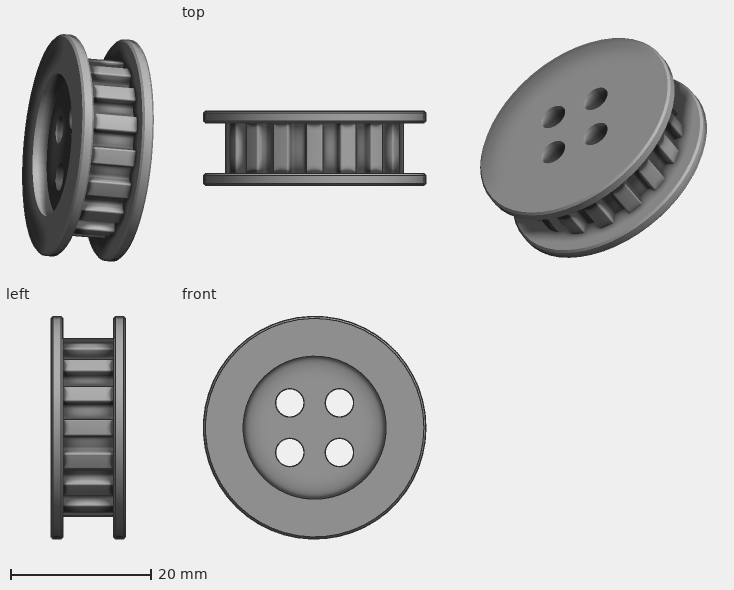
import cadquery as cq
import math

FLANGE_DIAMETER = 31.75
WIDTH = 10.6
FLANGE_THICKNESS = 1.7
FLANGE_CHAMFER = 0.3

TOOTH_COUNT = 16
TIP_DIAMETER = 25.4
ROOT_DIAMETER = 22.15
TOOTH_BASE_WIDTH = 2.2
TOOTH_TIP_WIDTH = 2.44
ROOT_FILLET = 0.55
TIP_FILLET = 0.25

RECESS_DIAMETER = 20.4
RECESS_DEPTH = 2.1
HOLE_DIAMETER = 4.0
HOLE_COUNT = 4
HOLE_CIRCLE_DIAMETER = 10.0

TIP_RADIUS = TIP_DIAMETER / 2
ROOT_RADIUS = ROOT_DIAMETER / 2
RIM_WIDTH = WIDTH - 2 * FLANGE_THICKNESS


def disc(diameter, y_start, length):
    """Cylinder on the Y axis, growing toward +Y from y_start."""
    plane = cq.Workplane("XZ", origin=(0, y_start, 0))
    return plane.circle(diameter / 2).extrude(-length)


def flange(y_start):
    """Flange disc with both rim edges chamfered."""
    return disc(FLANGE_DIAMETER, y_start, FLANGE_THICKNESS).edges().chamfer(FLANGE_CHAMFER)


def tooth():
    """Tooth on +Z with flat flanks that narrow toward its base, running down to the axis."""
    half_base = TOOTH_BASE_WIDTH / 2
    half_tip = TOOTH_TIP_WIDTH / 2
    base_z = math.sqrt(ROOT_RADIUS**2 - half_base**2)
    outline = [
        (0, 0),
        (half_base, base_z),
        (half_tip, TIP_RADIUS),
        (-half_tip, TIP_RADIUS),
        (-half_base, base_z),
    ]
    plane = cq.Workplane("XZ", origin=(0, -RIM_WIDTH / 2, 0))
    blank = plane.polyline(outline).close().extrude(-RIM_WIDTH)
    return blank.intersect(disc(TIP_DIAMETER, -RIM_WIDTH / 2, RIM_WIDTH))


def toothed_rim():
    """Root disc with evenly spaced teeth, the first centred on +Z, rounded at roots and tips."""
    rim = disc(ROOT_DIAMETER, -RIM_WIDTH / 2, RIM_WIDTH)
    first_tooth = tooth()
    for index in range(TOOTH_COUNT):
        angle = index * 360 / TOOTH_COUNT
        rim = rim.union(first_tooth.rotate((0, 0, 0), (0, 1, 0), angle))
    mid_flank_radius = (TIP_RADIUS + ROOT_RADIUS) / 2
    root_edges = []
    tip_edges = []
    for edge in rim.edges("|Y").vals():
        centre = edge.Center()
        if math.hypot(centre.x, centre.z) < mid_flank_radius:
            root_edges.append(edge)
        else:
            tip_edges.append(edge)
    rim = rim.newObject(root_edges).fillet(ROOT_FILLET)
    return rim.newObject(tip_edges).fillet(TIP_FILLET)


def bolt_holes():
    """Through holes on a circle, on the diagonals between X and Z."""
    plane = cq.Workplane("XZ", origin=(0, -WIDTH / 2, 0))
    start_angle = 180 / HOLE_COUNT
    centres = plane.polarArray(HOLE_CIRCLE_DIAMETER / 2, start_angle, 360, HOLE_COUNT)
    return centres.circle(HOLE_DIAMETER / 2).extrude(-WIDTH)


result = (
    toothed_rim()
    .union(flange(-WIDTH / 2))
    .union(flange(WIDTH / 2 - FLANGE_THICKNESS))
    .cut(disc(RECESS_DIAMETER, -WIDTH / 2, RECESS_DEPTH))
    .cut(bolt_holes())
)